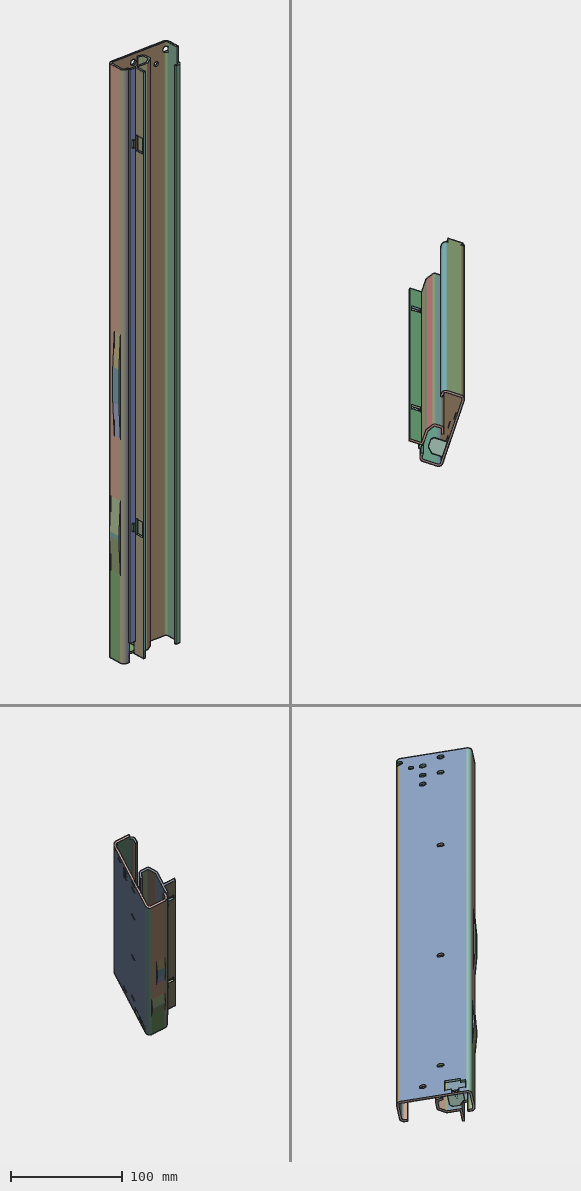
import cadquery as cq
import math

LENGTH = 600.0
SHEET = 2.1
BEND = 4.0

PAD_RISE = 2.0
CHANNEL_TOP = 71.0
CHANNEL_DEPTH = 21.5
UPPER_LIP_END = 63.5
LOWER_LIP_END = 9.0
UPPER_TRIM_X = 17.0
UPPER_TRIM_Z = 584.5

HOOK_BASE = 7.0
HOOK_TOP = 36.5
HOOK_FOOT = 8.0
HOOK_BEND = 3.0
WALL_FACE = CHANNEL_DEPTH + SHEET
HOOK_CURL = [(WALL_FACE, 29.0), (18.5, HOOK_TOP), (9.0, HOOK_TOP), (7.0, 30.0)]

FIN_TIP = 35.0
FIN_LOW = 14.5
FIN_HIGH = FIN_LOW + SHEET
SLOT_START = 24.5
SLOT_END = 33.0
SLOT_LENGTH = 15.5
SLOT_CENTRES = (524.5, 137.0)
NUB_REACH = 2.0
NUB_LOW_Y = 10.0
NUB_LENGTH = 8.0
NUB_THICKNESS = 2.0
NOTCH_TOP = 20.5

GUIDE_Y = 46.0
RIVET_Y = 30.0
HOLE_RADIUS = 3.0
WEB_HOLES = (
    [(57.0, 581.0, 2.5)]
    + [(GUIDE_Y, z, HOLE_RADIUS) for z in (581.0, 564.5, 549.0, 20.0)]
    + [(RIVET_Y, z, HOLE_RADIUS) for z in (591.5, 564.5, 437.5, 245.0, 52.0)]
)
CORNER_HOLE = (68.0, 592.0, HOLE_RADIUS)

WINDOW_LOW_Y = 7.0
WINDOW_STEP_Y = 12.0
WINDOW_HIGH_Y = 26.5
WINDOW_BASE = 7.0
WINDOW_TOP = 23.5
WINDOW_STEP_TOP = 20.0
TAB_OUTLINE = [(0, 10.0), (12.0, 10.0), (17.0, 15.0), (17.0, 22.0), (14.5, 24.5), (0, 24.5)]

DIMPLE_Y = 17.0
DIMPLE_WIDTH = 6.5
DIMPLE_REACH = 10.0
DIMPLE_BASE = 2.5

PAD_RAMP = 35.0
PAD_END_X = CHANNEL_DEPTH - BEND
LONG_PAD = (9.0, 261.0, 297.0)
SHORT_PAD = (4.0, 123.5, 129.0)


def left_normal(start, end):
    """Unit normal on the left of the direction from start to end."""
    dx = end[0] - start[0]
    dy = end[1] - start[1]
    size = math.hypot(dx, dy)
    return (-dy / size, dx / size)


def inner_path(outer):
    """Offset an open path to its left by the sheet thickness, with mitred corners."""
    normals = [left_normal(a, b) for a, b in zip(outer, outer[1:])]
    before = [normals[0]] + normals
    after = normals + [normals[-1]]
    inner = []
    for (x, y), (ax, ay), (bx, by) in zip(outer, before, after):
        reach = SHEET / (1 + ax * bx + ay * by)
        inner.append((x + reach * (ax + bx), y + reach * (ay + by)))
    return inner


def bent_sheet(outer, radius, z_start, z_end):
    """Sheet whose outer face follows a path, rounded at every bend."""
    inner = inner_path(outer)
    outline = outer + inner[::-1]
    sheet = cq.Workplane("XY").workplane(offset=z_start)
    sheet = sheet.polyline(outline).close().extrude(z_end - z_start)
    middle = (z_start + z_end) / 2
    for path, bend in ((outer, radius), (inner, radius - SHEET)):
        for x, y in path[1:-1]:
            sheet = sheet.edges(cq.selectors.NearestToPointSelector((x, y, middle))).fillet(bend)
    return sheet


def box(x0, x1, y0, y1, z0, z1):
    return cq.Workplane("XY").box(x1 - x0, y1 - y0, z1 - z0, centered=False).translate((x0, y0, z0))


def x_hole(y, z, radius, depth):
    return cq.Workplane("YZ").center(y, z).circle(radius).extrude(depth)


def pad(first_x, flat_start, flat_end):
    """Shallow pad with a ramp at each end, standing on the lower flange."""
    side = [
        (PAD_RISE, flat_start - PAD_RAMP),
        (0, flat_start),
        (0, flat_end),
        (PAD_RISE, flat_end + PAD_RAMP),
    ]
    return cq.Workplane("YZ").workplane(offset=first_x).polyline(side).close().extrude(PAD_END_X - first_x)


def make_tab():
    return cq.Workplane("XY").workplane(offset=WINDOW_BASE).polyline(TAB_OUTLINE).close().extrude(-SHEET)


def make_dimple():
    """Cutter: a triangle in the top of the tab and a slot in the web face below it."""
    half = DIMPLE_WIDTH / 2
    depth = SHEET / 2
    triangle = [(0, DIMPLE_Y - half), (DIMPLE_REACH, DIMPLE_Y), (0, DIMPLE_Y + half)]
    tab_part = cq.Workplane("XY").workplane(offset=WINDOW_BASE).polyline(triangle).close().extrude(-depth)
    return tab_part.union(box(0, depth, DIMPLE_Y - half, DIMPLE_Y + half, DIMPLE_BASE, WINDOW_BASE))


def make_channel():
    outer = [
        (CHANNEL_DEPTH, UPPER_LIP_END),
        (CHANNEL_DEPTH, CHANNEL_TOP),
        (0, CHANNEL_TOP),
        (0, PAD_RISE),
        (CHANNEL_DEPTH, PAD_RISE),
        (CHANNEL_DEPTH, LOWER_LIP_END),
    ]
    channel = bent_sheet(outer, BEND, 0, LENGTH)
    for hole in WEB_HOLES:
        channel = channel.cut(x_hole(*hole, SHEET))
    channel = channel.cut(x_hole(*CORNER_HOLE, BEND))
    channel = channel.cut(
        box(UPPER_TRIM_X, CHANNEL_DEPTH, UPPER_LIP_END, CHANNEL_TOP, UPPER_TRIM_Z, LENGTH)
    )
    channel = channel.cut(box(0, SHEET, WINDOW_STEP_Y, WINDOW_HIGH_Y, WINDOW_BASE, WINDOW_TOP))
    channel = channel.cut(box(0, SHEET, WINDOW_LOW_Y, WINDOW_STEP_Y, WINDOW_BASE, WINDOW_STEP_TOP))
    channel = channel.union(make_tab()).cut(make_dimple())
    for shape in (LONG_PAD, SHORT_PAD):
        channel = channel.union(pad(*shape))
    return channel


def make_slot(z):
    """Cutter for a rectangular slot through the fin, centred at height z."""
    half = SLOT_LENGTH / 2
    return box(SLOT_START, SLOT_END, FIN_LOW, FIN_HIGH, z - half, z + half)


def make_nub(z):
    half = NUB_LENGTH / 2
    nub_tip = WALL_FACE + NUB_REACH
    return box(CHANNEL_DEPTH, nub_tip, NUB_LOW_Y, NUB_LOW_Y + NUB_THICKNESS, z - half, z + half)


def make_hook_rail():
    outer = [(WALL_FACE, HOOK_FOOT)] + HOOK_CURL
    rail = bent_sheet(outer, HOOK_BEND, HOOK_BASE, LENGTH)
    rail = rail.cut(box(CHANNEL_DEPTH, WALL_FACE, HOOK_FOOT, FIN_LOW, HOOK_BASE, NOTCH_TOP))
    fin = box(CHANNEL_DEPTH, FIN_TIP, FIN_LOW, FIN_HIGH, HOOK_BASE, LENGTH)
    for z in SLOT_CENTRES:
        fin = fin.cut(make_slot(z))
        rail = rail.union(make_nub(z))
    return rail.union(fin)


channel = make_channel()
hook_rail = make_hook_rail()

result = cq.Compound.makeCompound([channel.solids().val(), hook_rail.solids().val()])